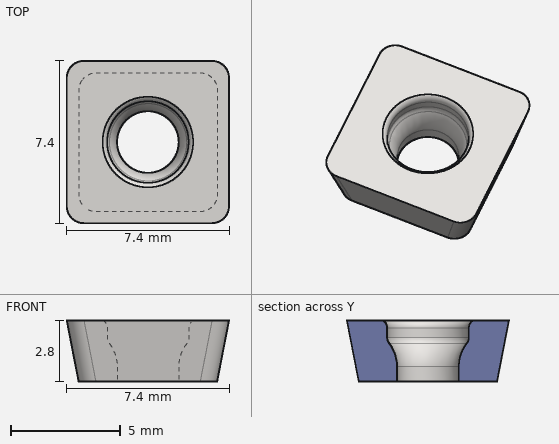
import cadquery as cq
import math

top_side = 7.4
thickness = 2.8
relief_angle = 11.0
corner_radius = 0.785

throat_radius = 1.4
wall_radius = 1.86
mouth_radius = 2.065
lip_radius = 0.37
wall_end_depth = 0.77
throat_depth = 2.095
hollow_radius = 0.445


def rounded_square(side):
    """Square sketch whose corners keep the same radius at every level."""
    return cq.Sketch().rect(side, side).vertices().fillet(corner_radius)


def make_body():
    """Tapered block with equal relief on all four flanks."""
    bottom_side = top_side - 2 * thickness * math.tan(math.radians(relief_angle))
    return (
        cq.Workplane("XY")
        .placeSketch(
            rounded_square(bottom_side),
            rounded_square(top_side).moved(cq.Location(cq.Vector(0, 0, thickness))),
        )
        .loft(ruled=True)
    )


def make_screw_hole():
    """Revolved hole: rounded lip, straight wall, S-shaped seat and throat."""
    lip_inset = lip_radius - (mouth_radius - wall_radius)
    lip_depth = math.sqrt(lip_radius**2 - lip_inset**2)
    lip_angle = math.asin(lip_depth / lip_radius)
    lip_center = (wall_radius + lip_radius, thickness - lip_depth)
    lip_middle = (
        lip_center[0] - lip_radius * math.cos(lip_angle / 2),
        lip_center[1] + lip_radius * math.sin(lip_angle / 2),
    )

    seat_height = throat_depth - wall_end_depth
    seat_inset = wall_radius - throat_radius
    seat_angle = 2 * math.atan(seat_inset / seat_height)
    seat_radius = seat_height / math.sin(seat_angle) - hollow_radius
    wall_end_z = thickness - wall_end_depth
    throat_z = thickness - throat_depth

    def hollow_point(angle):
        return (
            wall_radius - hollow_radius * (1 - math.cos(angle)),
            wall_end_z - hollow_radius * math.sin(angle),
        )

    def seat_point(angle):
        return (
            throat_radius + seat_radius * (1 - math.cos(angle)),
            throat_z + seat_radius * math.sin(angle),
        )

    return (
        cq.Workplane("XZ")
        .lineTo(throat_radius, 0)
        .lineTo(throat_radius, throat_z)
        .threePointArc(seat_point(seat_angle / 2), seat_point(seat_angle))
        .threePointArc(hollow_point(seat_angle / 2), (wall_radius, wall_end_z))
        .lineTo(wall_radius, thickness - lip_depth)
        .threePointArc(lip_middle, (mouth_radius, thickness))
        .lineTo(0, thickness)
        .close()
        .revolve(360, (0, 0, 0), (0, 1, 0))
    )


result = make_body().cut(make_screw_hole())